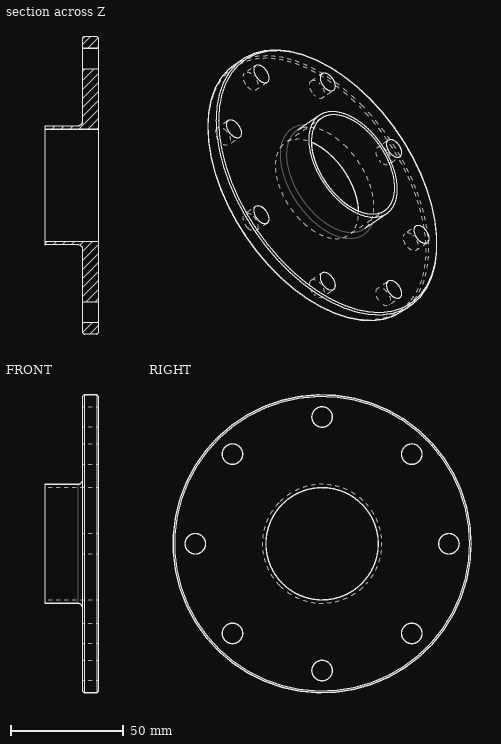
import cadquery as cq

total_length = 24.0
flange_diameter = 133.0
flange_thickness = 7.2
flange_chamfer = 0.8
neck_diameter = 53.2
bore_diameter = 50.0
neck_fillet = 2.0
bolt_count = 8
bolt_circle_diameter = 113.0
bolt_hole_diameter = 9.0

flange_face_x = total_length - flange_thickness


def cylinder(diameter, start_x, length):
    """Solid cylinder along +X, starting at start_x."""
    return cq.Workplane("YZ", origin=(start_x, 0, 0)).circle(diameter / 2).extrude(length)


flange = cylinder(flange_diameter, flange_face_x, flange_thickness).edges().chamfer(flange_chamfer)

neck = cylinder(neck_diameter, 0, total_length)
body = flange.union(neck)
neck_root = cq.selectors.BoxSelector(
    (flange_face_x - neck_fillet, -neck_diameter, -neck_diameter),
    (flange_face_x + flange_chamfer / 2, neck_diameter, neck_diameter),
    boundingbox=True,
)
body = body.edges(neck_root).fillet(neck_fillet)

body = body.cut(cylinder(bore_diameter, 0, total_length))

bolt_holes = (
    cq.Workplane("YZ", origin=(flange_face_x, 0, 0))
    .polarArray(bolt_circle_diameter / 2, 0, 360, bolt_count)
    .circle(bolt_hole_diameter / 2)
    .extrude(flange_thickness)
)

result = body.cut(bolt_holes)